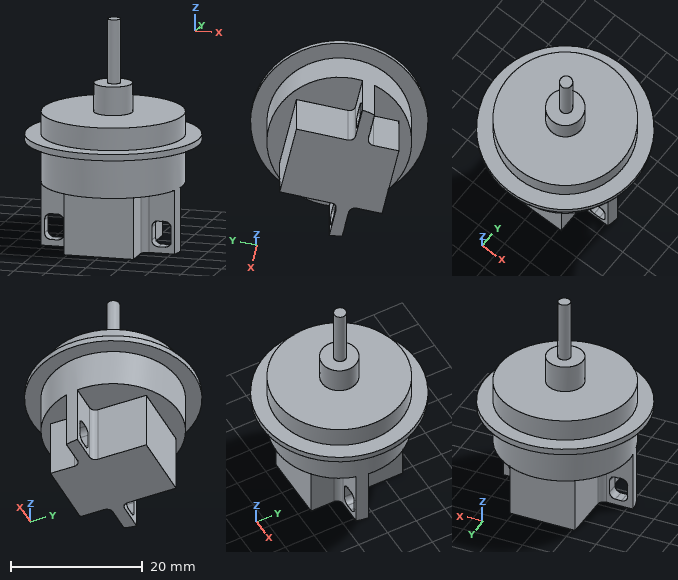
import cadquery as cq

total_height = 35.5
flange_diameter = 27.0
drum_diameter = 22.0
boss_diameter = 6.0
shaft_diameter = 2.02
shaft_offset_x = 0.1
shaft_offset_y = 0.07

base_height = 10.0
flange_bottom = 16.5
flange_thickness = 1.0
drum_top = 21.0
boss_top = 25.5

block_width = 11.0
block_depth = 16.0
ear_front = -3.0
ear_thickness = 2.0
ear_fillet = 1.0
slot_width = 3.0
slot_height = 4.0
slot_corner_radius = 1.0
slot_offset = 8.5
slot_center_height = 3.0


def cylinder(diameter, bottom, top):
    return cq.Workplane("XY").workplane(offset=bottom).circle(diameter / 2).extrude(top - bottom)


def make_base():
    """Block with two ears whose ends follow the drum's cylinder."""
    block = cq.Workplane("XY").rect(block_width, block_depth).extrude(base_height)
    ears = (
        cq.Workplane("XY")
        .center(0, ear_front + ear_thickness / 2)
        .rect(drum_diameter, ear_thickness)
        .extrude(base_height)
        .intersect(cylinder(drum_diameter, 0, base_height))
    )
    base = block.union(ears)

    half_width = block_width / 2
    for ear_face in (ear_front, ear_front + ear_thickness):
        for side_face in (-half_width, half_width):
            corner = cq.selectors.NearestToPointSelector((side_face, ear_face, base_height / 2))
            base = base.edges("|Z").edges(corner).fillet(ear_fillet)

    slots = (
        cq.Workplane("XZ")
        .pushPoints([(-slot_offset, slot_center_height), (slot_offset, slot_center_height)])
        .rect(slot_width, slot_height)
        .extrude(drum_diameter / 2, both=True)
        .edges("|Y")
        .fillet(slot_corner_radius)
    )
    return base.cut(slots)


def make_housing():
    """Base, drum, flange and boss as one body."""
    drum = cylinder(drum_diameter, base_height, drum_top)
    flange = cylinder(flange_diameter, flange_bottom, flange_bottom + flange_thickness)
    boss = cylinder(boss_diameter, drum_top, boss_top)
    return make_base().union(drum).union(flange).union(boss)


def make_shaft():
    """Plain round shaft standing on the boss, slightly off its axis."""
    shaft = cylinder(shaft_diameter, boss_top, total_height)
    return shaft.translate((shaft_offset_x, shaft_offset_y, 0))


housing = make_housing()
shaft = make_shaft()

result = cq.Compound.makeCompound([housing.solids().val(), shaft.val()])